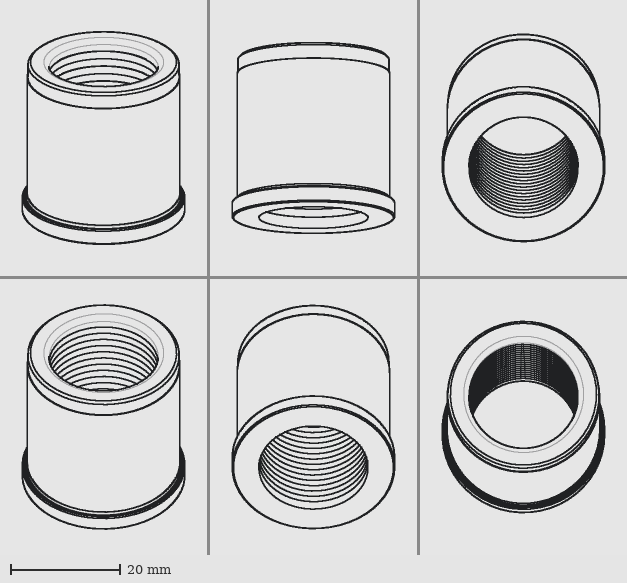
import cadquery as cq
import math

height = 30.0
flange_radius = 14.895
flange_height = 3.0
flange_chamfer = 0.25
body_radius = 13.98
pilot_radius = 13.85
pilot_length = 3.0
pilot_chamfer = 0.48

undercut_top = 3.55
undercut_outer_radius = 14.4
undercut_floor_radius = 14.15
undercut_depth = 0.1
undercut_rounding = 0.25

bore_radius = 10.0
mouth_radius = 1.0
groove_radius = 0.75
groove_pitch = 3.0
groove_count = 9
top_groove_depth = 3.15


def revolve_profile(profile):
    """Turn a profile of (radius, height) points about the Z axis."""
    return profile.close().revolve(360, (0, 0, 0), (0, 1, 0))


def make_sleeve():
    """Flanged sleeve with its plain bore, pilot end and corner undercut."""
    undercut_floor = flange_height - undercut_depth
    neck_radius = body_radius - (undercut_top - undercut_floor)
    tangent_length = undercut_rounding / math.tan(math.radians(22.5))
    tangent_offset = tangent_length * math.cos(math.radians(45))
    rounding_start = (neck_radius + tangent_length, undercut_floor)
    rounding_end = (neck_radius + tangent_offset, undercut_floor + tangent_offset)
    pilot_start = height - pilot_length
    profile = (
        cq.Workplane("XZ")
        .moveTo(bore_radius, 0)
        .lineTo(flange_radius - flange_chamfer, 0)
        .lineTo(flange_radius, flange_chamfer)
        .lineTo(flange_radius, flange_height - flange_chamfer)
        .lineTo(flange_radius - flange_chamfer, flange_height)
        .lineTo(undercut_outer_radius, flange_height)
        .lineTo(undercut_floor_radius, undercut_floor)
        .lineTo(*rounding_start)
        .tangentArcPoint(rounding_end, relative=False)
        .lineTo(body_radius, undercut_top)
        .lineTo(body_radius, pilot_start)
        .lineTo(pilot_radius, pilot_start)
        .lineTo(pilot_radius, height - pilot_chamfer)
        .lineTo(pilot_radius - pilot_chamfer, height)
        .lineTo(bore_radius + mouth_radius, height)
        .radiusArc((bore_radius, height - mouth_radius), -mouth_radius)
    )
    return revolve_profile(profile)


def make_groove(center_height):
    """Ring cutter for one half-round groove in the bore wall."""
    profile = (
        cq.Workplane("XZ")
        .moveTo(bore_radius, center_height - groove_radius)
        .threePointArc(
            (bore_radius + groove_radius, center_height),
            (bore_radius, center_height + groove_radius),
        )
        .lineTo(bore_radius - groove_radius, center_height + groove_radius)
        .lineTo(bore_radius - groove_radius, center_height - groove_radius)
    )
    return revolve_profile(profile)


result = make_sleeve()
for index in range(groove_count):
    groove_height = height - top_groove_depth - index * groove_pitch
    result = result.cut(make_groove(groove_height))